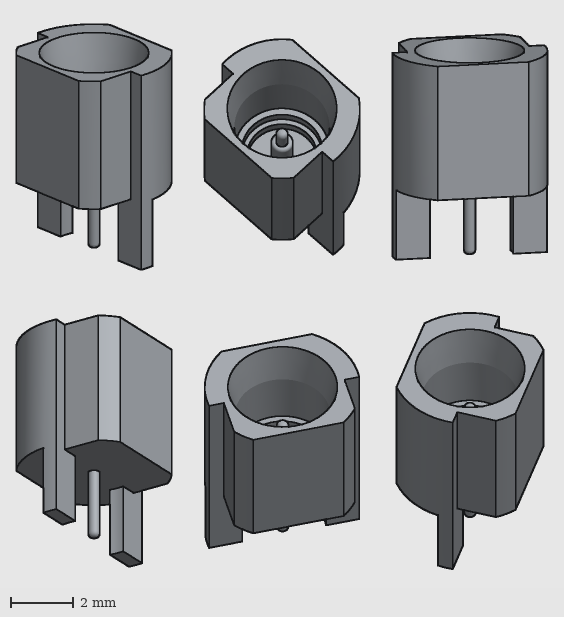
import cadquery as cq

total_height = 6.7
flange_diameter = 5.0
body_width = 4.0
leg_length = 2.29
notch_y = -0.2
leg_thickness = 0.5
leg_inner_diameter = 2.8

mouth_diameter = 3.51
bore_diameter = 3.05
taper_depth = 1.285
bore_depth = 3.015
middle_diameter = 2.6
middle_depth = 3.35
floor_diameter = 2.25
floor_depth = 3.685

pin_diameter = 0.38
pin_end_radius = 0.15
pin_tip_depth = 1.675
collar_diameter = 0.705
collar_edge_radius = 0.1
collar_depth = 2.345


def cylinder(diameter, bottom, top):
    return cq.Workplane("XY").workplane(offset=bottom).circle(diameter / 2).extrude(top - bottom)


def make_body():
    """Round flange with flats front and back, narrowed to the body width in front of the notch."""
    flange = cylinder(flange_diameter, leg_length, total_height)
    core = cq.Workplane("XY").box(body_width, body_width, total_height)
    rear_depth = body_width / 2 - notch_y
    rear = (
        cq.Workplane("XY")
        .center(0, notch_y + rear_depth / 2)
        .box(flange_diameter, rear_depth, total_height)
    )
    envelope = core.union(rear).translate((0, 0, leg_length + total_height / 2))
    return flange.intersect(envelope)


def make_legs():
    """Two opposite slices of a ring below the body."""
    ring = cylinder(flange_diameter, 0, leg_length).cut(cylinder(leg_inner_diameter, 0, leg_length))
    slab = (
        cq.Workplane("XY")
        .center(0, notch_y + leg_thickness / 2)
        .rect(flange_diameter, leg_thickness)
        .extrude(leg_length)
    )
    return ring.intersect(slab)


def make_socket():
    """Revolved cavity: tapered mouth, straight bore and two smaller steps."""
    bore_radius = bore_diameter / 2
    middle_radius = middle_diameter / 2
    floor_radius = floor_diameter / 2
    profile = [
        (0, total_height),
        (mouth_diameter / 2, total_height),
        (bore_radius, total_height - taper_depth),
        (bore_radius, total_height - bore_depth),
        (middle_radius, total_height - bore_depth),
        (middle_radius, total_height - middle_depth),
        (floor_radius, total_height - middle_depth),
        (floor_radius, total_height - floor_depth),
        (0, total_height - floor_depth),
    ]
    return cq.Workplane("XZ").polyline(profile).close().revolve(360, (0, 0, 0), (0, 1, 0))


def make_pin():
    """Round-ended pin through the socket floor, with a thicker collar inside the socket."""
    pin = cylinder(pin_diameter, 0, total_height - pin_tip_depth)
    pin = pin.faces("<Z or >Z").edges().fillet(pin_end_radius)
    collar = cylinder(collar_diameter, total_height - floor_depth, total_height - collar_depth)
    collar = collar.faces(">Z").edges().fillet(collar_edge_radius)
    return pin.union(collar)


result = make_body().union(make_legs()).cut(make_socket()).union(make_pin())